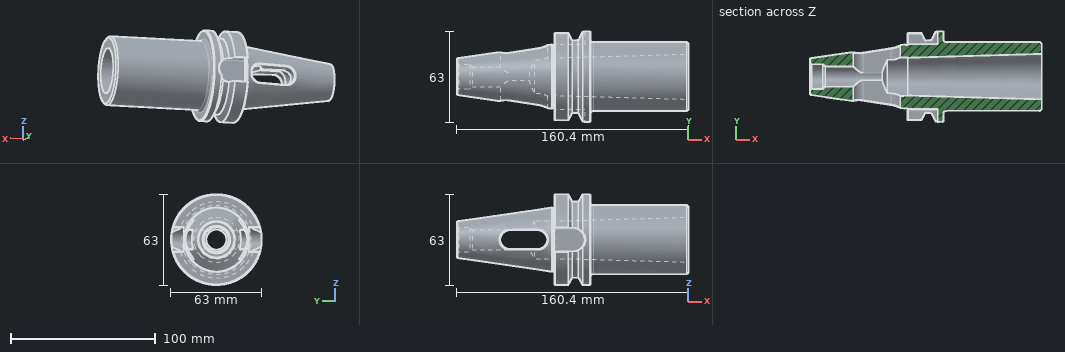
import cadquery as cq
import math

LENGTH = 160.4

TAPER_SLOPE = 7 / 48
GAUGE_RADIUS = 22.3
GAUGE_X = 65.5
RELIEF_X = 66.4
TAPER_END_CHAMFER = 0.5
RELIEF_RADIUS = 22.0

FLANGE_X = 67.4
FLANGE_RADIUS = 31.52
FLANGE_CHAMFER = 0.6
GROOVE_START_X = 77.0
GROOVE_FLOOR_START_X = 79.7
GROOVE_FLOOR_END_X = 84.0
GROOVE_END_X = 87.0
GROOVE_RADIUS = 26.5
FLANGE_BACK_X = 92.4

SHANK_RADIUS = 48.0 / 2
SHANK_FILLET = 1.8
SHANK_END_CHAMFER = 1.3

FRONT_BORE_RADIUS = 17.0 / 2
FRONT_BORE_CHAMFER = 1.1
FRONT_BORE_DEPTH = 9.0
FRONT_BORE_TIP_LENGTH = 1.6
THROUGH_RADIUS = 13.8 / 2
DRILL_TIP_HALF_ANGLE = 60.0
PILOT_START_X = 53.5
PILOT_RADIUS = 26.5 / 2
SOCKET_START_X = 67.7
SOCKET_SMALL_RADIUS = 13.0
SOCKET_MOUTH_RADIUS = 31.3 / 2

SLOT_START_X = 30.0
SLOT_END_X = 62.4
SLOT_WIDTH = 12.8
SLOT_CHAMFER = 0.6

KEYWAY_WIDTH = 16.4
KEYWAY_FLOOR_Y = 22.5
KEYWAY_END_X = 88.4
KEYWAY_FLOOR_FILLET = 0.6
KEYWAY_EDGE_CHAMFER = 0.6
KEYWAY_END_CHAMFER = 0.6
KEYWAY_OVERCUT = 1.6


def turned_body():
    """Outside of the holder, revolved from its half section."""
    end_radius = GAUGE_RADIUS - GAUGE_X * TAPER_SLOPE
    end_chamfer_radius = end_radius + TAPER_END_CHAMFER * TAPER_SLOPE
    fillet_end_x = FLANGE_BACK_X + SHANK_FILLET
    profile = (
        cq.Workplane("XY")
        .moveTo(0, 0)
        .lineTo(0, end_radius - TAPER_END_CHAMFER)
        .lineTo(TAPER_END_CHAMFER, end_chamfer_radius)
        .lineTo(GAUGE_X, GAUGE_RADIUS)
        .lineTo(RELIEF_X, RELIEF_RADIUS)
        .lineTo(FLANGE_X, RELIEF_RADIUS)
        .lineTo(FLANGE_X, FLANGE_RADIUS - FLANGE_CHAMFER)
        .lineTo(FLANGE_X + FLANGE_CHAMFER, FLANGE_RADIUS)
        .lineTo(GROOVE_START_X, FLANGE_RADIUS)
        .lineTo(GROOVE_FLOOR_START_X, GROOVE_RADIUS)
        .lineTo(GROOVE_FLOOR_END_X, GROOVE_RADIUS)
        .lineTo(GROOVE_END_X, FLANGE_RADIUS)
        .lineTo(FLANGE_BACK_X - FLANGE_CHAMFER, FLANGE_RADIUS)
        .lineTo(FLANGE_BACK_X, FLANGE_RADIUS - FLANGE_CHAMFER)
        .lineTo(FLANGE_BACK_X, SHANK_RADIUS + SHANK_FILLET)
        .radiusArc((fillet_end_x, SHANK_RADIUS), -SHANK_FILLET)
        .lineTo(LENGTH - SHANK_END_CHAMFER, SHANK_RADIUS)
        .lineTo(LENGTH, SHANK_RADIUS - SHANK_END_CHAMFER)
        .lineTo(LENGTH, 0)
        .close()
    )
    return profile.revolve(360, (0, 0, 0), (1, 0, 0))


def axial_bore():
    """Stepped front hole opening into the tapered tool socket."""
    pilot_tip_length = (PILOT_RADIUS - THROUGH_RADIUS) / math.tan(math.radians(DRILL_TIP_HALF_ANGLE))
    profile = (
        cq.Workplane("XY")
        .moveTo(0, 0)
        .lineTo(0, FRONT_BORE_RADIUS + FRONT_BORE_CHAMFER)
        .lineTo(FRONT_BORE_CHAMFER, FRONT_BORE_RADIUS)
        .lineTo(FRONT_BORE_DEPTH, FRONT_BORE_RADIUS)
        .lineTo(FRONT_BORE_DEPTH + FRONT_BORE_TIP_LENGTH, THROUGH_RADIUS)
        .lineTo(PILOT_START_X - pilot_tip_length, THROUGH_RADIUS)
        .lineTo(PILOT_START_X, PILOT_RADIUS)
        .lineTo(SOCKET_START_X, PILOT_RADIUS)
        .lineTo(SOCKET_START_X, SOCKET_SMALL_RADIUS)
        .lineTo(LENGTH, SOCKET_MOUTH_RADIUS)
        .lineTo(LENGTH, 0)
        .close()
    )
    return profile.revolve(360, (0, 0, 0), (1, 0, 0))


def cut_cross_slot(body):
    """Cut the round-ended slot through the taper and break its outer rims."""
    middle_x = (SLOT_START_X + SLOT_END_X) / 2
    slot = (
        cq.Workplane("XZ")
        .center(middle_x, 0)
        .slot2D(SLOT_END_X - SLOT_START_X, SLOT_WIDTH)
        .extrude(FLANGE_RADIUS, both=True)
    )
    body = body.cut(slot)
    overlap = 0.2
    rim_zone = cq.selectors.BoxSelector(
        (SLOT_START_X - overlap, -FLANGE_RADIUS, -SLOT_WIDTH / 2 - overlap),
        (SLOT_END_X + overlap, FLANGE_RADIUS, SLOT_WIDTH / 2 + overlap),
        boundingbox=True,
    )
    return body.edges(rim_zone).edges("not |Y").chamfer(SLOT_CHAMFER)


def keyway_cutter():
    """Round-ended keyway on the +Y side, with a rounded floor edge."""
    half_width = KEYWAY_WIDTH / 2
    arc_center_x = KEYWAY_END_X - half_width
    depth = FLANGE_RADIUS - KEYWAY_FLOOR_Y + KEYWAY_OVERCUT
    start_x = RELIEF_X
    cutter = (
        cq.Workplane("XZ", origin=(0, KEYWAY_FLOOR_Y, 0))
        .moveTo(start_x, -half_width)
        .lineTo(arc_center_x, -half_width)
        .threePointArc((KEYWAY_END_X, 0), (arc_center_x, half_width))
        .lineTo(start_x, half_width)
        .close()
        .extrude(-depth)
    )
    return cutter.faces("<Y").edges("not(<X)").fillet(KEYWAY_FLOOR_FILLET)


def keyway_wall_chamfers():
    """Wedges for the front and outer edges of the upper wall of the +Y keyway."""
    wall_z = KEYWAY_WIDTH / 2
    size = KEYWAY_EDGE_CHAMFER
    front_wedge = (
        cq.Workplane("XZ", origin=(0, KEYWAY_FLOOR_Y, 0))
        .polyline([(FLANGE_X, wall_z), (FLANGE_X + size, wall_z), (FLANGE_X, wall_z + size)])
        .close()
        .extrude(KEYWAY_FLOOR_Y - FLANGE_RADIUS)
    )
    rim_y = math.sqrt(FLANGE_RADIUS**2 - wall_z**2)
    outer_wedge = (
        cq.Workplane("YZ", origin=(FLANGE_X, 0, 0))
        .polyline([(rim_y - size, wall_z), (rim_y + size, wall_z), (rim_y + size, wall_z + 2 * size)])
        .close()
        .extrude(GROOVE_FLOOR_START_X - FLANGE_X)
    )
    return front_wedge.union(outer_wedge)


def keyway_end_chamfer():
    """Cone that breaks the rim at the round end of the +Y keyway."""
    radius = KEYWAY_WIDTH / 2
    size = KEYWAY_END_CHAMFER
    return cq.Workplane(
        cq.Solid.makeCone(
            radius,
            radius + 2 * size,
            2 * size,
            pnt=cq.Vector(KEYWAY_END_X - radius, FLANGE_RADIUS - size, 0),
            dir=cq.Vector(0, 1, 0),
        )
    )


def cut_keyways(body):
    """Cut both keyways and break the edges of their side walls."""
    upper_chamfers = keyway_wall_chamfers()
    wall_chamfers = upper_chamfers.union(upper_chamfers.mirror("XY"))
    cutter = keyway_cutter().union(wall_chamfers).union(keyway_end_chamfer())
    return body.cut(cutter).cut(cutter.mirror("XZ"))


result = cut_keyways(cut_cross_slot(turned_body())).cut(axial_bore())